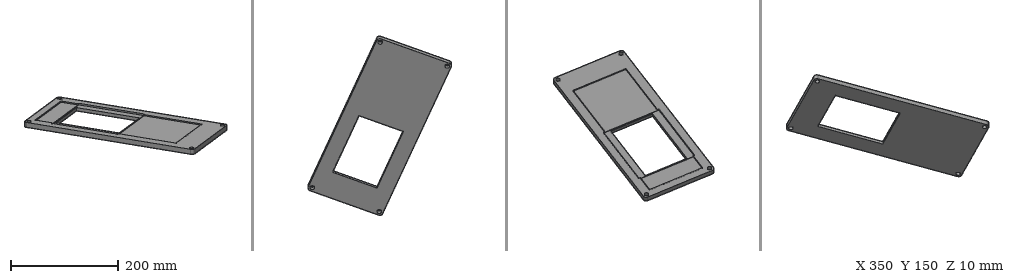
import cadquery as cq

PLATE_LENGTH = 350.0
PLATE_WIDTH = 150.0
PLATE_THICKNESS = 10.0
CORNER_RADIUS = 6.0

HOLE_DIAMETER = 8.0
HOLE_INSET = 7.5

RECESS_LENGTH = 290.0
RECESS_WIDTH = 113.0
RECESS_DEPTH = 2.4
RECESS_LEFT_MARGIN = 15.0

SEAT_LENGTH = 135.0
SEAT_WIDTH = 119.0
SEAT_DEPTH = 3.2
SEAT_LEFT_MARGIN = 50.0
WINDOW_END_LEDGE = 2.5
WINDOW_SIDE_LEDGE = 15.0

PLATE_LEFT = -PLATE_LENGTH / 2
RECESS_CENTER_X = PLATE_LEFT + RECESS_LEFT_MARGIN + RECESS_LENGTH / 2
SEAT_CENTER_X = PLATE_LEFT + SEAT_LEFT_MARGIN + SEAT_LENGTH / 2
WINDOW_LENGTH = SEAT_LENGTH - 2 * WINDOW_END_LEDGE
WINDOW_WIDTH = SEAT_WIDTH - 2 * WINDOW_SIDE_LEDGE


def make_plate():
    """Flat plate with rounded vertical corners."""
    plate = cq.Workplane("XY").box(
        PLATE_LENGTH, PLATE_WIDTH, PLATE_THICKNESS, centered=(True, True, False)
    )
    return plate.edges("|Z").fillet(CORNER_RADIUS)


def make_corner_holes():
    """Four cylinders that cut the corner holes."""
    return (
        cq.Workplane("XY")
        .rect(PLATE_LENGTH - 2 * HOLE_INSET, PLATE_WIDTH - 2 * HOLE_INSET, forConstruction=True)
        .vertices()
        .circle(HOLE_DIAMETER / 2)
        .extrude(PLATE_THICKNESS)
    )


def make_pocket(center_x, length, width, depth):
    """Rectangular block that cuts down from the top face, centred in Y."""
    return (
        cq.Workplane("XY", origin=(center_x, 0, PLATE_THICKNESS))
        .rect(length, width)
        .extrude(-depth)
    )


recess = make_pocket(RECESS_CENTER_X, RECESS_LENGTH, RECESS_WIDTH, RECESS_DEPTH)
seat = make_pocket(SEAT_CENTER_X, SEAT_LENGTH, SEAT_WIDTH, SEAT_DEPTH)
window = make_pocket(SEAT_CENTER_X, WINDOW_LENGTH, WINDOW_WIDTH, PLATE_THICKNESS)

result = make_plate().cut(make_corner_holes()).cut(recess).cut(seat).cut(window)